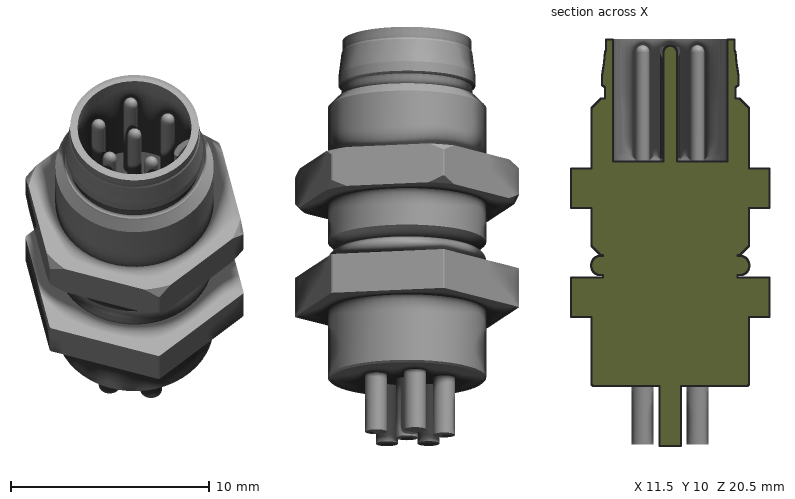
import cadquery as cq
import math

total_height = 20.5
body_bottom = 3.01
hex_thickness = 2.0
groove_bottom = 8.5
flange_bottom = groove_bottom - hex_thickness
groove_top = 9.61
nut_bottom = 12.0
shoulder = 17.53

body_diameter = 8.0
body_chamfer = 0.5
bottom_edge_chamfer = 0.1
ring_groove_diameter = 6.8

neck_diameter = 6.6
collar_diameter = 6.9
rim_diameter = 6.5
neck_top = 18.08
collar_bottom = 18.18
collar_top = 18.68
taper_top = 19.86
rim_bottom = 19.97

socket_diameter = 5.75
socket_depth = 6.15
key_diameter = 1.0
key_offset = 2.62
key_top = 20.13

across_flats = 10.0
corner_diameter = 11.5
nut_chamfer = 0.33

ring_section = 1.0
ring_height = 9.1

contact_diameter = 0.7
contact_top = 20.2
contact_circle_radius = 1.9
long_solder_angle = 113.5
contact_angles = (46.5, long_solder_angle, 180.0, 246.5, 313.5)
solder_diameter = 1.1
short_solder_end = 0.06

body_radius = body_diameter / 2
socket_radius = socket_diameter / 2
socket_floor = total_height - socket_depth


def cylinder(diameter, bottom, top, x=0.0, y=0.0):
    """Upright cylinder between two heights."""
    base = cq.Workplane("XY", origin=(x, y, bottom))
    return base.circle(diameter / 2).extrude(top - bottom)


def make_body():
    """Turned body, including the O-ring groove and the tapered plug collar."""
    chamfered_radius = body_radius - body_chamfer
    outline = [
        (0, body_bottom),
        (body_radius - bottom_edge_chamfer, body_bottom),
        (body_radius, body_bottom + bottom_edge_chamfer),
        (body_radius, groove_bottom),
        (ring_groove_diameter / 2, groove_bottom),
        (ring_groove_diameter / 2, groove_top),
        (chamfered_radius, groove_top),
        (body_radius, groove_top + body_chamfer),
        (body_radius, shoulder - body_chamfer),
        (chamfered_radius, shoulder),
        (neck_diameter / 2, shoulder),
        (neck_diameter / 2, neck_top),
        (collar_diameter / 2, collar_bottom),
        (collar_diameter / 2, collar_top),
        (neck_diameter / 2, taper_top),
        (rim_diameter / 2, rim_bottom),
        (rim_diameter / 2, total_height),
        (0, total_height),
    ]
    return cq.Workplane("XZ").polyline(outline).close().revolve(360, (0, 0), (0, 1))


def make_hexagon(bottom, chamfer=0.0):
    """Hexagon with corners along X, turned down at the corners."""
    corner_to_corner = across_flats / math.cos(math.pi / 6)
    prism = cq.Workplane("XY", origin=(0, 0, bottom)).polygon(6, corner_to_corner).extrude(hex_thickness)
    envelope = cylinder(corner_diameter, bottom, bottom + hex_thickness)
    if chamfer:
        envelope = envelope.edges("%CIRCLE").chamfer(chamfer)
    return prism.intersect(envelope)


def make_ring():
    """O-ring whose outside is level with the body."""
    section_radius = ring_section / 2
    sweep_radius = body_radius - section_radius
    section = cq.Workplane("XZ").center(-sweep_radius, ring_height).circle(section_radius)
    return section.revolve(360, (sweep_radius, 0), (sweep_radius, 1))


def make_key():
    """Round coding key on the socket wall, its top sloping down at 45 degrees towards the axis."""
    key = cylinder(key_diameter, socket_floor, key_top, key_offset)
    space_below_slope = (
        cq.Workplane("XZ")
        .moveTo(0, socket_floor)
        .lineTo(0, key_top - socket_radius)
        .lineTo(socket_radius, key_top)
        .lineTo(socket_radius, socket_floor)
        .close()
        .extrude(key_diameter, both=True)
    )
    socket_space = cylinder(socket_diameter, socket_floor, total_height)
    return key.intersect(space_below_slope).intersect(socket_space)


def make_pin(x, y):
    """Round-nosed plug pin standing on the socket floor."""
    nose_radius = contact_diameter / 2
    nose_height = contact_top - nose_radius
    nose = cq.Workplane("XY", origin=(x, y, nose_height)).sphere(nose_radius)
    return cylinder(contact_diameter, socket_floor, nose_height, x, y).union(nose)


def make_solder_pin(x, y, end):
    """Thicker pin that leaves the underside of the body."""
    return cylinder(solder_diameter, end, body_bottom, x, y)


result = make_body().cut(cylinder(socket_diameter, socket_floor, total_height))
result = result.union(make_hexagon(flange_bottom))
result = result.union(make_hexagon(nut_bottom, nut_chamfer))
result = result.union(make_ring())
result = result.union(make_key())

result = result.union(make_pin(0, 0))
result = result.union(make_solder_pin(0, 0, 0))

for angle in contact_angles:
    contact_x = contact_circle_radius * math.cos(math.radians(angle))
    contact_y = contact_circle_radius * math.sin(math.radians(angle))
    solder_end = 0 if angle == long_solder_angle else short_solder_end
    result = result.union(make_pin(contact_x, contact_y))
    result = result.union(make_solder_pin(contact_x, contact_y, solder_end))